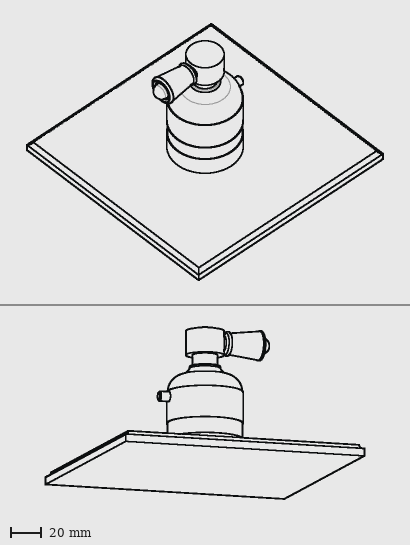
import cadquery as cq
import math

plate_side = 165.1
plate_top = 7.8
cove_radius = 2.8

body_radius = 25.1
band_radius = 24.6
band_bottom = 20.6
band_top = 31.2
shoulder_bottom = 52.0
shoulder_radius = 11.5
shoulder_end_radius = 16.5
collar_radius = 10.2
collar_bottom = 67.7
collar_top = 69.2
collar_rounding = 0.8
shoulder_flare_radius = 8.0
neck_radius = 8.3

cap_radius = 12.5
cap_bottom = 76.6
cap_rim = 92.8
cap_top = 94.8

handle_height = 85.0
stub_radius = 5.0
stub_end = 13.0
stub_flare_radius = 7.0
handle_collar_start = 14.4
handle_collar_end = 16.5
handle_collar_radius = 8.1
grip_start_radius = 7.1
grip_end_radius = 9.5
lip_start = 37.3
lip_end = 39.0
lip_radius = 9.9
lip_rounding = 1.5
recess_outer_radius = 8.1
recess_inner_radius = 6.8
recess_depth = 0.8
knob_radius = 5.6
knob_ring_end = 40.5
knob_dome_base_radius = 5.3
knob_tip = 44.2

pin_radius = 3.3
pin_height = 47.5
pin_tip = 32.0
pin_chamfer = 0.8


def make_plate():
    """Square plate whose upper edges are hollowed by a quarter-round cove."""
    plate = cq.Workplane("XY").box(plate_side, plate_side, plate_top, centered=(True, True, False))
    half_side = plate_side / 2
    for side in range(4):
        cove = (
            cq.Workplane("YZ")
            .center(half_side, plate_top)
            .circle(cove_radius)
            .extrude(half_side, both=True)
            .rotate((0, 0, 0), (0, 0, 1), 90 * side)
        )
        plate = plate.cut(cove)
    return plate


def make_body():
    """Stepped cylinder, rounded shoulder, flare, neck and domed cap turned about Z."""
    shoulder_center = band_radius - shoulder_radius
    end_angle = math.acos((shoulder_end_radius - shoulder_center) / shoulder_radius)
    shoulder_end = shoulder_bottom + shoulder_radius * math.sin(end_angle)
    shoulder_middle = (
        shoulder_center + shoulder_radius * math.cos(end_angle / 2),
        shoulder_bottom + shoulder_radius * math.sin(end_angle / 2),
    )
    cap_dome_height = cap_top - cap_rim
    cap_dome_radius = (cap_radius**2 + cap_dome_height**2) / (2 * cap_dome_height)
    return (
        cq.Workplane("XZ")
        .lineTo(body_radius, 0)
        .lineTo(body_radius, band_bottom)
        .lineTo(band_radius, band_bottom)
        .lineTo(band_radius, band_top)
        .lineTo(body_radius, band_top)
        .lineTo(body_radius, shoulder_bottom)
        .lineTo(band_radius, shoulder_bottom)
        .threePointArc(shoulder_middle, (shoulder_end_radius, shoulder_end))
        .radiusArc((collar_radius, collar_bottom), shoulder_flare_radius)
        .lineTo(collar_radius, collar_top - collar_rounding)
        .radiusArc((collar_radius - collar_rounding, collar_top), -collar_rounding)
        .lineTo(neck_radius, collar_top)
        .lineTo(neck_radius, cap_bottom)
        .lineTo(cap_radius, cap_bottom)
        .lineTo(cap_radius, cap_rim)
        .radiusArc((0, cap_top), -cap_dome_radius)
        .close()
        .revolve(360, (0, 0, 0), (0, 1, 0))
    )


def make_handle():
    """Tapered lever with a half-round collar, an end lip and a domed knob."""
    dome_height = knob_tip - knob_ring_end
    dome_radius = (knob_dome_base_radius**2 + dome_height**2) / (2 * dome_height)
    return (
        cq.Workplane("XY")
        .lineTo(stub_radius, 0)
        .lineTo(stub_radius, stub_end)
        .lineTo(stub_flare_radius, handle_collar_start)
        .lineTo(grip_start_radius, handle_collar_start)
        .threePointArc(
            (handle_collar_radius, (handle_collar_start + handle_collar_end) / 2),
            (grip_start_radius, handle_collar_end),
        )
        .lineTo(grip_end_radius, lip_start)
        .lineTo(lip_radius, lip_start)
        .lineTo(lip_radius, lip_end - lip_rounding)
        .radiusArc((lip_radius - lip_rounding, lip_end), -lip_rounding)
        .lineTo(recess_outer_radius, lip_end)
        .lineTo(recess_inner_radius, lip_end - recess_depth)
        .lineTo(knob_radius, lip_end - recess_depth)
        .lineTo(knob_radius, lip_end)
        .lineTo(knob_dome_base_radius, knob_ring_end)
        .radiusArc((0, knob_tip), -dome_radius)
        .close()
        .revolve(360, (0, 0, 0), (0, 1, 0))
        .rotate((0, 0, 0), (0, 0, 1), 180)
        .translate((0, 0, handle_height))
    )


def make_pin():
    """Small chamfered pin standing out of the back of the body."""
    return (
        cq.Workplane("XZ")
        .center(0, pin_height)
        .circle(pin_radius)
        .extrude(-pin_tip)
        .faces(">Y")
        .chamfer(pin_chamfer)
    )


result = make_plate().union(make_body()).union(make_handle()).union(make_pin())